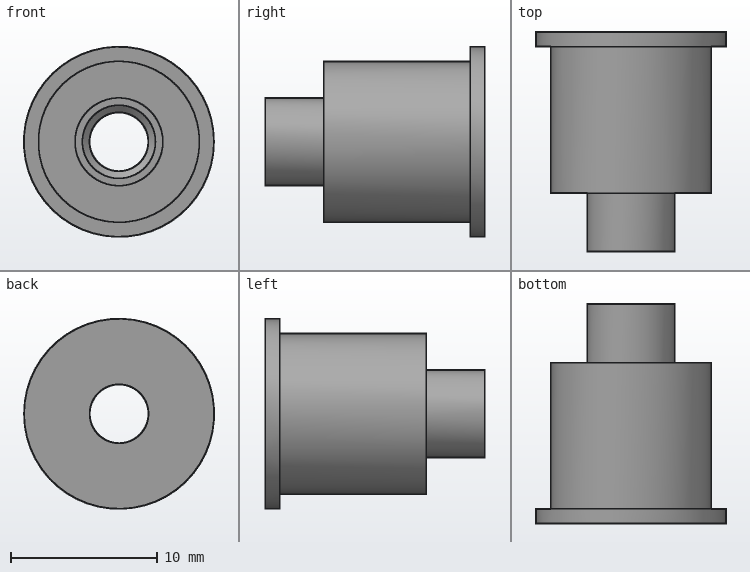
import cadquery as cq

flange_diameter = 13.0
flange_thickness = 1.0
body_diameter = 11.0
body_length = 10.0
nose_diameter = 6.0
nose_length = 4.0
bore_diameter = 4.0
mouth_chamfer = 0.5

flange_front = -flange_thickness
body_front = flange_front - body_length
nose_front = body_front - nose_length


def bushing_profile():
    """Half section in the XY plane, from the bore wall outwards."""
    bore_radius = bore_diameter / 2
    body_radius = body_diameter / 2
    flange_radius = flange_diameter / 2
    nose_radius = nose_diameter / 2
    return (
        cq.Workplane("XY")
        .moveTo(bore_radius, 0)
        .lineTo(flange_radius, 0)
        .lineTo(flange_radius, flange_front)
        .lineTo(body_radius, flange_front)
        .lineTo(body_radius, body_front)
        .lineTo(nose_radius, body_front)
        .lineTo(nose_radius, nose_front)
        .lineTo(bore_radius + mouth_chamfer, nose_front)
        .lineTo(bore_radius, nose_front + mouth_chamfer)
        .close()
    )


result = bushing_profile().revolve(360, (0, 0, 0), (0, 1, 0))